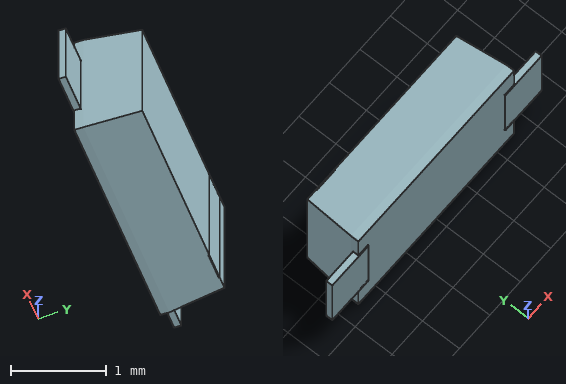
import cadquery as cq
import math

overall_length = 3.44
overall_depth = 0.75

body_length = 2.56
body_height = 1.55
standoff = 0.01
rim_depth = 0.103
draft_angle = 5.0
taper_depth = overall_depth - standoff - rim_depth
wall_inset = taper_depth * math.tan(math.radians(draft_angle))

lead_length = 0.6
lead_height = 0.86
lead_thickness = 0.083

band_width = 0.305
band_thickness = 0.01
band_center_x = -0.925


def block(size_x, size_y, size_z, center_x, start_y):
    """Box centered on Z = 0 that extends toward +Y from start_y."""
    return cq.Workplane("XY").box(size_x, size_y, size_z, centered=(True, False, True)).translate(
        (center_x, start_y, 0)
    )


def make_molding():
    """Solid body shape before the lead and band recesses are cut."""
    rim = block(body_length, rim_depth, body_height, 0, standoff)
    taper = (
        cq.Workplane("XZ", origin=(0, standoff + rim_depth, 0))
        .rect(body_length, body_height)
        .workplane(offset=-taper_depth)
        .rect(body_length - 2 * wall_inset, body_height - 2 * wall_inset)
        .loft(ruled=True)
    )
    return rim.union(taper)


def make_lead(side):
    """Lead at the -X end (side = -1) or the +X end (side = 1)."""
    center_x = side * (overall_length - lead_length) / 2
    return block(lead_length, lead_thickness, lead_height, center_x, 0)


def make_band(molding):
    """Thin band over the full height of the +Y face, trimmed to the leaning walls."""
    strip = block(band_width, band_thickness, body_height, band_center_x, overall_depth - band_thickness)
    return strip.intersect(molding).solids()


def make_body(molding, inserts):
    """Molding with a matching recess for each insert."""
    body = molding
    for insert in inserts:
        body = body.cut(insert)
    return body.solids()


molding = make_molding()
leads = [make_lead(side) for side in (-1, 1)]
band = make_band(molding)
body = make_body(molding, leads + [band])

result = cq.Compound.makeCompound([body.val(), *[lead.val() for lead in leads], band.val()])